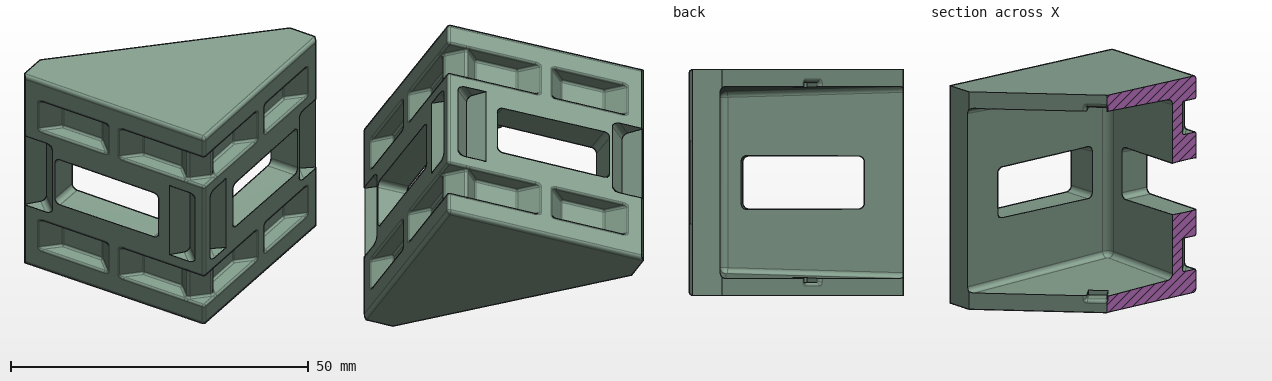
import cadquery as cq
import math


LEG_LENGTH = 36.0
HEIGHT = 38.0
LEG_END_HEIGHT = 5.5
OUTER_DRAFT = 0.25
END_CHAMFER = 0.6
RIM_RADIUS = 0.65
CORNER_RADIUS = 0.45

LEG_THICKNESS = 5.2
HOLLOW_HEIGHT = 32.22
HOLLOW_DRAFT = 2.3
HOLLOW_RADIUS = 1.0
HOLLOW_CORNER_RADIUS = 1.3

SLOT_NEAR = 9.05
SLOT_FAR = 29.55
SLOT_NEAR_LEAN = 0.3
SLOT_FAR_LEAN = 0.15
SLOT_HEIGHT = 8.85
SLOT_FLARE = 0.1
SLOT_RADIUS = 1.0

POCKET_DEPTH = 3.05
POCKET_HEIGHT = 5.78
POCKET_LEVEL = 11.97
POCKET_NEAR = 18.95
POCKET_FAR = 32.9
CORNER_POCKET_FAR = 16.95
POCKET_RADIUS = 0.38
MOUTH_RADIUS = 0.38

RIB_NEAR = 0.5
RIB_FAR = 3.7
RIB_RADIUS = 0.5

END_GROOVE = (30.1, 33.2, 35.72)
CORNER_GROOVE = (1.82, 4.6, 6.9)
GROOVE_HEIGHT = 13.9
GROOVE_RADIUS = 1.0

NOTCH_WIDTH = 3.35
NOTCH_DEPTH = 3.05
NOTCH_HEIGHT = 33.6
NOTCH_RADIUS = 0.6
NOTCH_CORNER_RADIUS = 0.1

TOUCH = 0.05
CLEARANCE = 0.75

SLOPE_MIDDLE = (LEG_LENGTH + LEG_END_HEIGHT) / 2
SLOPE_DEPTH = SLOPE_MIDDLE * math.sqrt(2)

SLOPE_PLANE = cq.Plane(
    origin=(-SLOPE_MIDDLE, SLOPE_MIDDLE, 0), xDir=(1, -1, 0), normal=(1, 1, 0)
)


def prism(points, height, level=0.0):
    """Extrude an XY outline along Z, centred on the given level."""
    bottom = level - height / 2
    return cq.Workplane("XY").workplane(offset=bottom).polyline(points).close().extrude(height)


def mirrored(shape):
    """Copy a base leg feature to the wall leg."""
    return shape.mirror((1, 1, 0))


def box_between(low, high):
    """Select what is centred in the box between two opposite corners."""
    return cq.selectors.BoxSelector(low, high)


def box_around(point, reach=0.38):
    """Select what is centred within reach of a point along each axis."""
    return cq.selectors.BoxSelector([c - reach for c in point], [c + reach for c in point])


BURIED = box_between((-LEG_LENGTH, TOUCH, -HEIGHT), (-TOUCH, LEG_LENGTH, HEIGHT))


def drafted_slab(opening_height, draft):
    """Diagonal slab that is opening_height tall at the slope and narrows towards the corner."""
    reach = SLOPE_DEPTH + CLEARANCE
    slope = math.tan(math.radians(draft))
    near = opening_height / 2 + CLEARANCE * slope
    far = opening_height / 2 - reach * slope
    outline = [(-CLEARANCE, -near), (reach, -far), (reach, far), (-CLEARANCE, near)]
    return cq.Workplane(SLOPE_PLANE).polyline(outline).close().extrude(LEG_LENGTH, both=True)


def outer_body():
    outline = [
        (0, 0),
        (-LEG_LENGTH, 0),
        (-LEG_LENGTH, LEG_END_HEIGHT),
        (-LEG_END_HEIGHT, LEG_LENGTH),
        (0, LEG_LENGTH),
    ]
    body = prism(outline, HEIGHT).intersect(drafted_slab(HEIGHT, OUTER_DRAFT))
    for leg_end in ((-LEG_LENGTH, 0, 0), (0, LEG_LENGTH, 0)):
        body = body.edges(box_around(leg_end)).chamfer(END_CHAMFER)
    body = body.edges(box_around((0, 0, 0))).fillet(CORNER_RADIUS)
    return body.faces("<Y or >X").edges("not |Z").fillet(RIM_RADIUS)


def hollow():
    """Triangular space between the side plates, open along the slope."""
    reach = LEG_LENGTH + LEG_END_HEIGHT - LEG_THICKNESS + CLEARANCE
    inner_corner = (-LEG_THICKNESS, LEG_THICKNESS)
    outline = [inner_corner, (-LEG_THICKNESS, reach), (-reach, LEG_THICKNESS)]
    cutter = prism(outline, HEIGHT).intersect(drafted_slab(HOLLOW_HEIGHT, HOLLOW_DRAFT))
    cutter = cutter.edges(box_around((*inner_corner, 0))).fillet(HOLLOW_CORNER_RADIUS)
    return cutter.faces("<Y or >X").edges("not |Z").fillet(HOLLOW_RADIUS)


def bolt_slot():
    """Slot whose outer mouth is tallest at the far end and inner mouth tallest at the near end."""
    tall = SLOT_HEIGHT / 2 + SLOT_FLARE
    low = SLOT_HEIGHT / 2
    outer_mouth = [
        (-SLOT_FAR, -tall),
        (-SLOT_NEAR, -low),
        (-SLOT_NEAR, low),
        (-SLOT_FAR, tall),
    ]
    inner_mouth = [
        (-SLOT_FAR + SLOT_FAR_LEAN, -low),
        (-SLOT_NEAR + SLOT_NEAR_LEAN, -tall),
        (-SLOT_NEAR + SLOT_NEAR_LEAN, tall),
        (-SLOT_FAR + SLOT_FAR_LEAN, low),
    ]
    cutter = (
        cq.Workplane("XZ")
        .polyline(outer_mouth).close()
        .workplane(offset=-LEG_THICKNESS)
        .polyline(inner_mouth).close()
        .loft(ruled=True)
    )
    length_edges = box_between(
        (-SLOT_FAR, TOUCH, -tall), (-SLOT_NEAR + SLOT_NEAR_LEAN, LEG_THICKNESS - TOUCH, tall)
    )
    return cutter.edges(length_edges).fillet(SLOT_RADIUS)


def pocket(level):
    """Closed pocket in the base leg, at the given level."""
    outline = [
        (-POCKET_NEAR + CLEARANCE, -CLEARANCE),
        (-POCKET_NEAR - POCKET_DEPTH, POCKET_DEPTH),
        (-POCKET_FAR + POCKET_DEPTH, POCKET_DEPTH),
        (-POCKET_FAR - CLEARANCE, -CLEARANCE),
    ]
    cutter = prism(outline, POCKET_HEIGHT, level)
    return cutter.edges("not <Y").edges(BURIED).fillet(POCKET_RADIUS)


def corner_pocket(level):
    """Pocket running round the corner edge from one leg to the other, leaving a rib inside."""
    far_floor = CORNER_POCKET_FAR - POCKET_DEPTH
    near_floor = RIB_FAR - RIB_NEAR + POCKET_DEPTH
    base_half = [
        (-CORNER_POCKET_FAR - CLEARANCE, -CLEARANCE),
        (-far_floor, POCKET_DEPTH),
        (-near_floor, POCKET_DEPTH),
        (-RIB_FAR, RIB_NEAR),
    ]
    wall_half = [(-y, -x) for x, y in reversed(base_half)]
    outline = base_half + wall_half + [(CLEARANCE, -CLEARANCE)]
    cutter = prism(outline, POCKET_HEIGHT, level)
    for rib_edge in ((-RIB_FAR, RIB_NEAR, level), (-RIB_NEAR, RIB_FAR, level)):
        cutter = cutter.edges(box_around(rib_edge)).fillet(RIB_RADIUS)
    return cutter.edges(BURIED).fillet(POCKET_RADIUS)


def round_pocket_mouths(body, level):
    """Round the edges of all pocket mouths at one level, on both legs."""
    low = level - POCKET_HEIGHT / 2 - TOUCH
    high = level + POCKET_HEIGHT / 2 + TOUCH
    far = POCKET_FAR + TOUCH
    on_base = box_between((-far, -TOUCH, low), (0, TOUCH, high))
    on_wall = box_between((-TOUCH, 0, low), (TOUCH, far, high))
    round_corner = box_between((-CORNER_RADIUS, 0, low), (0, CORNER_RADIUS, high))
    return body.edges(on_base + on_wall + round_corner).fillet(MOUTH_RADIUS)


def groove(near, valley, far):
    """V-groove in the base leg: a 45 degree near side rising to the valley, and a steeper far side."""
    depth = valley - near
    far_run = CLEARANCE * (far - valley) / depth
    outline = [
        (-near + CLEARANCE, -CLEARANCE),
        (-valley, depth),
        (-far - far_run, -CLEARANCE),
    ]
    cutter = prism(outline, GROOVE_HEIGHT)
    near_side_middle = ((outline[0][0] + outline[1][0]) / 2, (outline[0][1] + outline[1][1]) / 2)
    for side in (-1, 1):
        near_side_end = (*near_side_middle, side * GROOVE_HEIGHT / 2)
        cutter = cutter.edges(box_around(near_side_end)).fillet(GROOVE_RADIUS)
    return cutter


def cut_notches(body):
    """Notch both side plates with one bar, then round the notch mouths on the slope."""
    bar = cq.Workplane(SLOPE_PLANE).box(2 * NOTCH_DEPTH, NOTCH_HEIGHT, NOTCH_WIDTH)
    bar = bar.edges("|(1, -1, 0)").fillet(NOTCH_CORNER_RADIUS)
    body = body.cut(bar)
    half_run = NOTCH_WIDTH / 2
    top = NOTCH_HEIGHT / 2 + TOUCH
    mouths = box_between(
        (-SLOPE_MIDDLE - half_run, SLOPE_MIDDLE - half_run, -top),
        (-SLOPE_MIDDLE + half_run, SLOPE_MIDDLE + half_run, top),
    )
    return body.edges(mouths).fillet(NOTCH_RADIUS)


result = outer_body()

for pocket_level in (-POCKET_LEVEL, POCKET_LEVEL):
    end_pocket = pocket(pocket_level)
    result = result.cut(end_pocket).cut(mirrored(end_pocket))
    result = result.cut(corner_pocket(pocket_level))
    result = round_pocket_mouths(result, pocket_level)

result = result.cut(hollow())
result = cut_notches(result)

for opening in (bolt_slot(), groove(*END_GROOVE), groove(*CORNER_GROOVE)):
    result = result.cut(opening).cut(mirrored(opening))